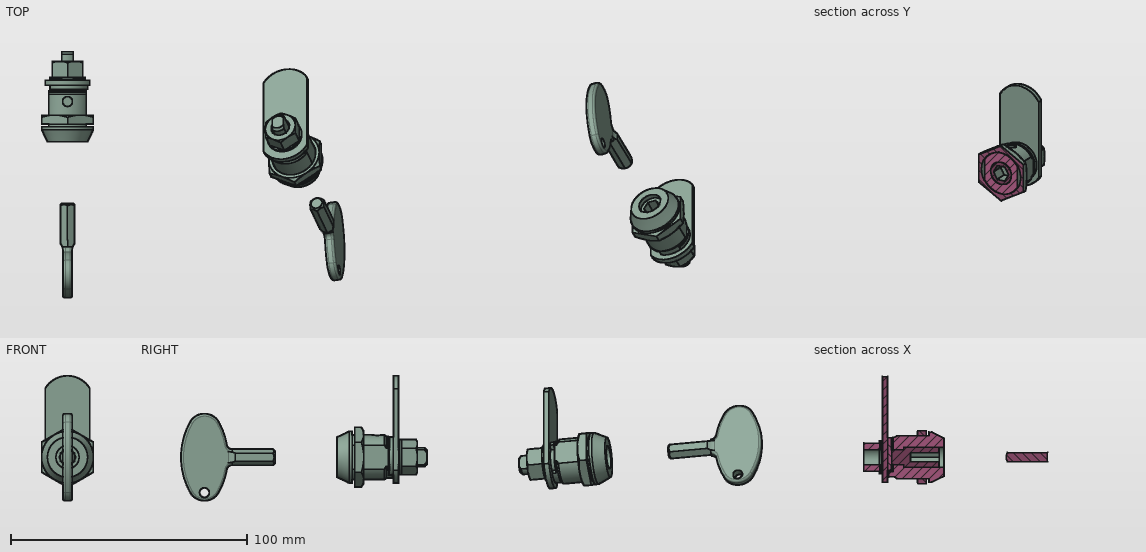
import cadquery as cq
import math


head_diameter = 22.0
head_front_diameter = 17.0
head_taper_length = 5.25
head_length = 6.5
barrel_diameter = 19.0
barrel_across_flats = 16.0
barrel_taper_start = 20.1
barrel_neck_start = 21.0
barrel_end = 21.7
barrel_neck_diameter = 17.7
dimple_diameter = 4.2
dimple_y = 17.1
dimple_floor_z = 8.7
stop_tab_end = 23.5
stop_tab_inner_radius = 6.5
stop_tab_half_angle = 30.0

rotor_diameter = 9.8
rotor_front = 2.2
rotor_shoulder = 17.0
stem_diameter = 8.0
stem_across_flats = 5.0
stem_flats_start = 22.3
stem_end = 38.2
stem_chamfer = 1.0
socket_across_flats = 6.2
socket_depth = 12.0

stop_washer_hub_diameter = 12.4
stop_washer_lug_diameter = 17.2
turn_angle = 90.0

cam_front = 23.9
cam_thickness = 2.3
cam_width = 19.0
cam_end_radius = 11.0
cam_length = 23.5

washer_front = 26.6
washer_thickness = 0.8
washer_diameter = 15.0

nut_chamfer_angle = 30.0
panel_nut_front = 7.5
panel_nut_thickness = 3.9
panel_nut_across_flats = 22.0
cam_nut_front = washer_front + washer_thickness
cam_nut_end = 34.1
cam_nut_thickness = cam_nut_end - cam_nut_front
cam_nut_across_flats = 13.0

key_tip_y = -26.0
key_length = 40.0
key_across_flats = 6.0
key_tip_chamfer = 1.0
key_neck_radius = 5.0
bow_thickness = 4.0
bow_half_width = 10.0
bow_half_height = 18.47
bow_end_radius = 7.0
bow_edge_fillet = 1.0
bow_root_fillet = 2.0
bow_root_length = 1.7
key_hole_diameter = 4.0
key_hole_z = -15.0


def plane_facing_back(y):
    """Workplane at y with its normal along +Y, local x along Z and local y along X."""
    return cq.Workplane("ZX", origin=(0, y, 0))


def disc(diameter, y_start, y_end):
    return plane_facing_back(y_start).circle(diameter / 2).extrude(y_end - y_start)


def hexagon(across_flats, y_start, y_end):
    """Hexagonal prism along Y with corners at +Z and -Z."""
    across_corners = across_flats / math.cos(math.pi / 6)
    return plane_facing_back(y_start).polygon(6, across_corners).extrude(y_end - y_start)


def turned(profile):
    """Solid of revolution about Y from a list of (radius, y) points."""
    return cq.Workplane("XY").polyline(profile).close().revolve(360, (0, 0), (0, 1))


def flatted_disc(diameter, across_flats, y_start, y_end):
    """Disc along Y with two flats facing +X and -X."""
    length = y_end - y_start
    slab = plane_facing_back(y_start).rect(diameter, across_flats).extrude(length)
    return disc(diameter, y_start, y_end).intersect(slab)


def ring_sector(inner_radius, outer_radius, start_angle, end_angle, y_start, y_end):
    """Piece of a ring about Y; angles run from +X towards +Z, in degrees."""
    def at(radius, angle):
        return (radius * math.cos(math.radians(angle)), radius * math.sin(math.radians(angle)))

    middle = (start_angle + end_angle) / 2
    return (
        cq.Workplane("XZ", origin=(0, y_start, 0))
        .moveTo(*at(inner_radius, start_angle))
        .lineTo(*at(outer_radius, start_angle))
        .threePointArc(at(outer_radius, middle), at(outer_radius, end_angle))
        .lineTo(*at(inner_radius, end_angle))
        .threePointArc(at(inner_radius, middle), at(inner_radius, start_angle))
        .close()
        .extrude(y_start - y_end)
    )


def stem_section(y_start, y_end):
    return flatted_disc(stem_diameter, stem_across_flats, y_start, y_end)


stop_tab_start_angle = 270 - stop_tab_half_angle
stop_tab_end_angle = 270 + stop_tab_half_angle


def make_housing():
    head = turned([
        (0, 0),
        (head_front_diameter / 2, 0),
        (head_diameter / 2, head_taper_length),
        (head_diameter / 2, head_length),
        (0, head_length),
    ])
    barrel = turned([
        (0, head_length),
        (barrel_diameter / 2, head_length),
        (barrel_diameter / 2, barrel_taper_start),
        (barrel_neck_diameter / 2, barrel_neck_start),
        (barrel_neck_diameter / 2, barrel_end),
        (0, barrel_end),
    ])
    barrel = barrel.intersect(flatted_disc(barrel_diameter, barrel_across_flats, head_length, barrel_end))
    stop_tab = ring_sector(
        stop_tab_inner_radius, barrel_neck_diameter / 2,
        stop_tab_start_angle, stop_tab_end_angle, barrel_end, stop_tab_end,
    )
    dimple = (
        cq.Workplane("XY", origin=(0, dimple_y, dimple_floor_z))
        .circle(dimple_diameter / 2)
        .extrude(barrel_diameter / 2)
    )
    rotor_bore = disc(rotor_diameter, 0, rotor_shoulder)
    stem_bore = disc(stem_diameter, rotor_shoulder, barrel_end)
    return head.union(barrel).union(stop_tab).cut(dimple).cut(rotor_bore).cut(stem_bore)


def make_rotor():
    core = disc(rotor_diameter, rotor_front, rotor_shoulder)
    journal = disc(stem_diameter, rotor_shoulder, stem_flats_start)
    stem = turned([
        (0, stem_flats_start),
        (stem_diameter / 2, stem_flats_start),
        (stem_diameter / 2, stem_end - stem_chamfer),
        (stem_diameter / 2 - stem_chamfer, stem_end),
        (0, stem_end),
    ]).intersect(stem_section(stem_flats_start, stem_end))
    socket = hexagon(socket_across_flats, rotor_front, rotor_front + socket_depth)
    socket = socket.rotate((0, 0, 0), (0, 1, 0), 30)
    return core.union(journal).union(stem).cut(socket)


def make_stop_washer():
    hub = disc(stop_washer_hub_diameter, stem_flats_start, cam_front)
    lug = ring_sector(
        stem_diameter / 2, stop_washer_lug_diameter / 2,
        stop_tab_end_angle - 360, stop_tab_start_angle - turn_angle, stem_flats_start, cam_front,
    )
    return hub.union(lug).cut(stem_section(stem_flats_start, cam_front))


def make_cam():
    half_width = cam_width / 2
    corner_rise = math.sqrt(cam_end_radius**2 - half_width**2)
    plate = (
        cq.Workplane("XZ", origin=(0, cam_front, 0))
        .moveTo(-half_width, -corner_rise)
        .threePointArc((0, -cam_end_radius), (half_width, -corner_rise))
        .lineTo(half_width, cam_length + corner_rise)
        .threePointArc((0, cam_length + cam_end_radius), (-half_width, cam_length + corner_rise))
        .close()
        .extrude(-cam_thickness)
    )
    return plate.cut(stem_section(cam_front, cam_front + cam_thickness))


def make_washer():
    washer_back = washer_front + washer_thickness
    return disc(washer_diameter, washer_front, washer_back).cut(
        disc(stem_diameter, washer_front, washer_back)
    )


def make_nut(across_flats, bore_diameter, y_start, thickness):
    """Hexagon nut with its corners chamfered on the back face."""
    y_end = y_start + thickness
    flat_radius = across_flats / 2
    corner_radius = flat_radius / math.cos(math.pi / 6)
    chamfer_depth = (corner_radius - flat_radius) * math.tan(math.radians(nut_chamfer_angle))
    envelope = turned([
        (0, y_start),
        (corner_radius, y_start),
        (corner_radius, y_end - chamfer_depth),
        (flat_radius, y_end),
        (0, y_end),
    ])
    return hexagon(across_flats, y_start, y_end).intersect(envelope).cut(disc(bore_diameter, y_start, y_end))


def make_key():
    bow_y = key_tip_y - key_length + bow_half_width
    bow_root_y = bow_y + bow_half_width
    shaft_length = key_tip_y - bow_root_y
    corner_radius = key_across_flats / 2 / math.cos(math.pi / 6)

    end_centre = bow_half_height - bow_end_radius
    side_radius = (
        (bow_half_width**2 + end_centre**2 - bow_end_radius**2) / (2 * (bow_half_width - bow_end_radius))
    )
    joint_angle = math.atan2(end_centre, side_radius - bow_half_width)
    joint_y = bow_end_radius * math.cos(joint_angle)
    joint_z = end_centre + bow_end_radius * math.sin(joint_angle)
    mid_plane = cq.Workplane("YZ", origin=(0, bow_y, 0))
    bow = (
        mid_plane.moveTo(joint_y, -joint_z)
        .threePointArc((bow_half_width, 0), (joint_y, joint_z))
        .threePointArc((0, bow_half_height), (-joint_y, joint_z))
        .threePointArc((-bow_half_width, 0), (-joint_y, -joint_z))
        .threePointArc((0, -bow_half_height), (joint_y, -joint_z))
        .close()
        .extrude(bow_thickness / 2, both=True)
    )
    root = cq.Workplane("XY", origin=(0, bow_root_y, 0)).box(
        bow_thickness, shaft_length, 2 * corner_radius
    )
    inner_corners = cq.selectors.BoxSelector(
        (-bow_thickness, bow_root_y - bow_root_length, -2 * corner_radius),
        (bow_thickness, bow_root_y + bow_root_length, 2 * corner_radius),
    )
    bow = bow.union(root).edges("|X").edges(inner_corners).fillet(bow_root_fillet)
    bow = bow.faces("<X or >X").edges().fillet(bow_edge_fillet)
    root_trim = cq.Workplane("XY", origin=(0, bow_root_y + bow_root_length, 0)).box(
        bow_thickness, shaft_length, 2 * corner_radius, centered=(True, False, True)
    )
    bow = bow.cut(root_trim)

    tip_envelope = turned([
        (0, bow_root_y),
        (corner_radius, bow_root_y),
        (corner_radius, key_tip_y - key_tip_chamfer),
        (corner_radius - key_tip_chamfer, key_tip_y),
        (0, key_tip_y),
    ])
    shaft = hexagon(key_across_flats, bow_root_y, key_tip_y).intersect(tip_envelope)

    for side in (-1, 1):
        hollow_x = side * (bow_thickness / 2 + key_neck_radius)
        hollow = (
            cq.Workplane("XY", origin=(hollow_x, bow_root_y, -corner_radius))
            .circle(key_neck_radius)
            .extrude(2 * corner_radius)
        )
        shaft = shaft.cut(hollow)

    lanyard_hole = (
        cq.Workplane("YZ", origin=(-bow_thickness / 2, bow_y, key_hole_z))
        .circle(key_hole_diameter / 2)
        .extrude(bow_thickness)
    )
    return shaft.union(bow).cut(lanyard_hole)


housing = make_housing()
panel_nut = make_nut(panel_nut_across_flats, barrel_diameter, panel_nut_front, panel_nut_thickness)
rotor = make_rotor()
stop_washer = make_stop_washer()
cam = make_cam()
washer = make_washer()
cam_nut = make_nut(cam_nut_across_flats, stem_diameter, cam_nut_front, cam_nut_thickness)
key = make_key()

bodies = [housing, panel_nut, rotor, stop_washer, cam, washer, cam_nut, key]
result = cq.Compound.makeCompound([body.solids().val() for body in bodies])